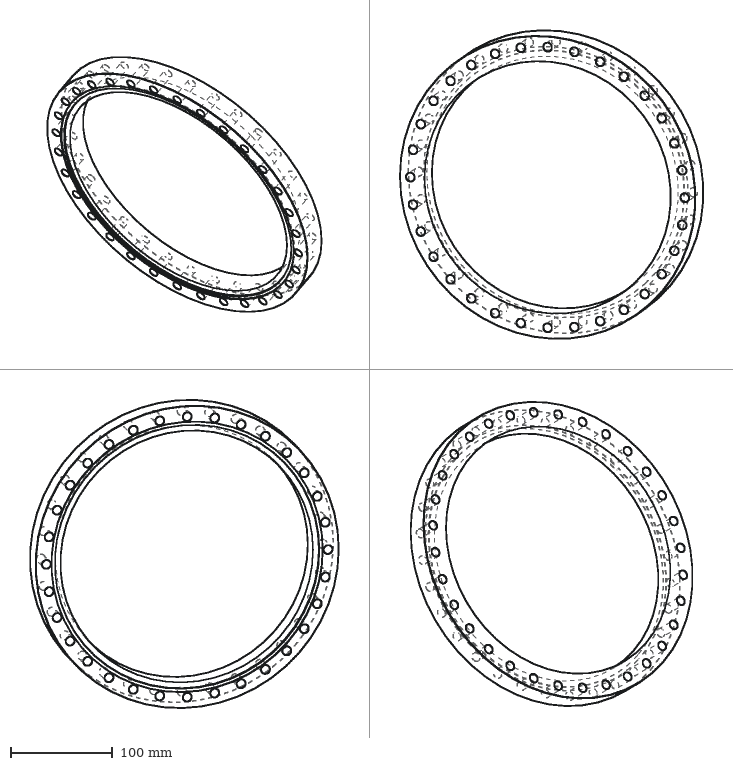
import cadquery as cq

outer_radius = 153.0
bore_radius = 127.3
thickness = 26.0
rim_chamfer = 0.45

recess_radius = 136.8
knife_radius = 133.5
step_radius = 133.0
knife_depth = 0.5
recess_depth = 1.5
step_depth = 2.0

bolt_count = 32
bolt_circle_radius = 142.0
bolt_hole_diameter = 8.5
bolt_hole_chamfer = 0.3

front_y = -thickness / 2
back_y = thickness / 2


def ring_body():
    """Revolve the flange section, drawn as (radius, y), about the Y axis."""
    section = (
        cq.Workplane("XY")
        .moveTo(bore_radius, back_y)
        .lineTo(outer_radius - rim_chamfer, back_y)
        .lineTo(outer_radius, back_y - rim_chamfer)
        .lineTo(outer_radius, front_y + rim_chamfer)
        .lineTo(outer_radius - rim_chamfer, front_y)
        .lineTo(recess_radius, front_y)
        .lineTo(recess_radius, front_y + recess_depth)
        .lineTo(knife_radius, front_y + knife_depth)
        .lineTo(step_radius, front_y + step_depth)
        .lineTo(bore_radius, front_y + step_depth)
        .close()
    )
    return section.revolve(360, (0, 0, 0), (0, 1, 0))


def bolt_hole_cutter():
    """Through hole on the Y axis, flared at both faces by a small chamfer."""
    hole_radius = bolt_hole_diameter / 2
    mouth_radius = hole_radius + bolt_hole_chamfer
    return (
        cq.Workplane("XY")
        .moveTo(0, front_y)
        .lineTo(mouth_radius, front_y)
        .lineTo(hole_radius, front_y + bolt_hole_chamfer)
        .lineTo(hole_radius, back_y - bolt_hole_chamfer)
        .lineTo(mouth_radius, back_y)
        .lineTo(0, back_y)
        .close()
        .revolve(360, (0, 0, 0), (0, 1, 0))
    )


def drill_bolt_holes(body):
    """Cut holes evenly spaced on the bolt circle, the first one on +Z."""
    first_hole = bolt_hole_cutter().translate((0, 0, bolt_circle_radius))
    for index in range(bolt_count):
        angle = index * 360 / bolt_count
        body = body.cut(first_hole.rotate((0, 0, 0), (0, 1, 0), angle))
    return body


result = drill_bolt_holes(ring_body())